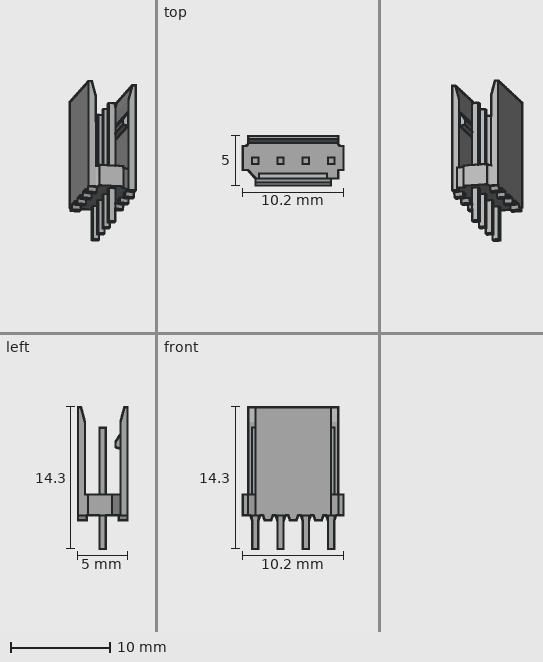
import cadquery as cq

total_height = 14.3
total_depth = 5.0
base_width = 10.18

pin_count = 4
pin_pitch = 2.55
pin_size = 0.65
pin_height = 12.24

base_bottom = 3.4
base_height = 2.12
body_width = 9.1
ear_back = 1.5
ear_front = -0.96
body_front = -1.8
inner_fillet = 0.25

wall_thickness = 0.73
wall_tip_thickness = 0.33
wall_taper_height = 1.5
back_wall_width = body_width
front_wall_width = 7.62

ridge_width = 6.84
ridge_depth = 0.49
ridge_bottom = 10.11
ridge_nose_bottom = 10.27
ridge_nose_top = 10.83
ridge_top = 11.55

foot_depth = 0.9
foot_height = 0.49
foot_top_width = 1.02
foot_tip_width = 0.67

wall_outer = total_depth / 2
wall_inner = wall_outer - wall_thickness


def spaced_places(count):
    """X places of a centred row at the pin pitch."""
    return [(i - (count - 1) / 2) * pin_pitch for i in range(count)]


def extrude_along_x(points, width):
    """Centred prism along X from a (Y, Z) outline."""
    return cq.Workplane("YZ").polyline(points).close().extrude(width / 2, both=True)


def make_base():
    """Base with an ear at each end and a cut-off corner at the front left."""
    half_base = base_width / 2
    half_body = body_width / 2
    half_front = front_wall_width / 2
    outline = [
        (-half_body, wall_inner),
        (half_body, wall_inner),
        (half_body, ear_back),
        (half_base, ear_back),
        (half_base, ear_front),
        (half_body, ear_front),
        (half_body, body_front),
        (-half_front, body_front),
        (-half_front, -wall_inner),
        (-half_body, ear_front),
        (-half_base, ear_front),
        (-half_base, ear_back),
        (-half_body, ear_back),
    ]
    return (
        cq.Workplane("XY", origin=(0, 0, base_bottom))
        .polyline(outline)
        .close()
        .extrude(base_height)
    )


def make_wall(side, width):
    """Upright wall at the back (side = 1) or front (side = -1)."""
    outline = [
        (side * wall_outer, base_bottom),
        (side * wall_outer, total_height),
        (side * (wall_outer - wall_tip_thickness), total_height),
        (side * wall_inner, total_height - wall_taper_height),
        (side * wall_inner, base_bottom),
    ]
    return extrude_along_x(outline, width)


def fillet_ear_corners(body):
    """Round the inner corners where the back wall's ends meet the ears."""
    reach = 0.01
    for side in (-1, 1):
        x = side * body_width / 2
        corner = cq.selectors.BoxSelector(
            (x - reach, ear_back - reach, base_bottom),
            (x + reach, ear_back + reach, base_bottom + base_height),
        )
        body = body.edges("|Z").edges(corner).fillet(inner_fillet)
    return body


def make_ridge():
    """Latch ridge with a long lead-in slope above its nose."""
    root = -wall_inner
    nose = root + ridge_depth
    outline = [
        (root, ridge_bottom),
        (nose, ridge_nose_bottom),
        (nose, ridge_nose_top),
        (root, ridge_top),
    ]
    return extrude_along_x(outline, ridge_width)


def make_foot(x, side):
    """Tapered foot under the back (side = 1) or front (side = -1) wall."""
    outline = [
        (x - foot_top_width / 2, base_bottom),
        (x + foot_top_width / 2, base_bottom),
        (x + foot_tip_width / 2, base_bottom - foot_height),
        (x - foot_tip_width / 2, base_bottom - foot_height),
    ]
    middle = side * (wall_outer - foot_depth / 2)
    return (
        cq.Workplane("XZ", origin=(0, middle, 0))
        .polyline(outline)
        .close()
        .extrude(foot_depth / 2, both=True)
    )


def make_pin(x):
    """Square pin running through the base."""
    return cq.Workplane("XY").center(x, 0).rect(pin_size, pin_size).extrude(pin_height)


result = make_base().union(make_wall(1, back_wall_width)).union(make_wall(-1, front_wall_width))
result = fillet_ear_corners(result)
result = result.union(make_ridge())

for foot_x in spaced_places(pin_count):
    result = result.union(make_foot(foot_x, 1))
for foot_x in spaced_places(pin_count - 1):
    result = result.union(make_foot(foot_x, -1))

for pin_x in spaced_places(pin_count):
    result = result.union(make_pin(pin_x))